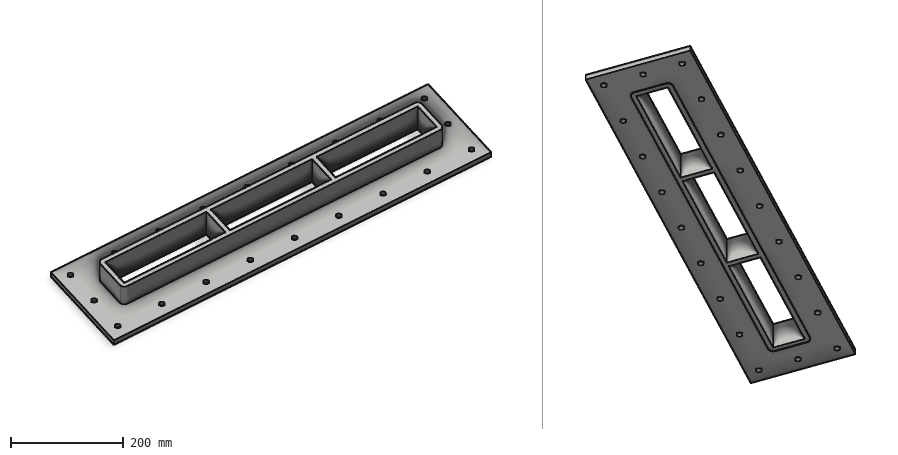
import cadquery as cq

plate_width = 200.0
plate_length = 814.0
plate_thickness = 12.0

total_height = 60.0
duct_width = 80.0
duct_length = 693.5
duct_corner_radius = 10.0
duct_protrusion_below = 2.0

wall = 10.0
cell_count = 3
cell_width = duct_width - 2 * wall
cell_length = (duct_length - (cell_count + 1) * wall) / cell_count
cell_pitch = cell_length + wall

hole_diameter = 10.5
hole_edge_distance = 25.0
holes_per_long_side = 9
hole_span_x = plate_width - 2 * hole_edge_distance
hole_span_y = plate_length - 2 * hole_edge_distance
hole_pitch_y = hole_span_y / (holes_per_long_side - 1)


def make_plate():
    """Flat flange, with its underside at Z = 0."""
    return cq.Workplane("XY").box(plate_width, plate_length, plate_thickness, centered=(True, True, False))


def make_duct():
    """Solid duct block with rounded vertical corners."""
    return (
        cq.Workplane("XY")
        .workplane(offset=-duct_protrusion_below)
        .rect(duct_width, duct_length)
        .extrude(total_height)
        .edges("|Z")
        .fillet(duct_corner_radius)
    )


def make_cells():
    """Row of rectangular through openings."""
    return (
        cq.Workplane("XY")
        .workplane(offset=-duct_protrusion_below)
        .rarray(8, cell_pitch, 1, cell_count)
        .rect(cell_width, cell_length)
        .extrude(total_height)
    )


def make_bolt_holes():
    """A row of holes on each long side and one hole at the middle of each short side."""
    side_holes = (
        cq.Workplane("XY")
        .rarray(hole_span_x, hole_pitch_y, 2, holes_per_long_side)
        .circle(hole_diameter / 2)
        .extrude(plate_thickness)
    )
    end_holes = (
        cq.Workplane("XY")
        .rarray(8, hole_span_y, 1, 2)
        .circle(hole_diameter / 2)
        .extrude(plate_thickness)
    )
    return side_holes.union(end_holes)


result = make_plate().union(make_duct()).cut(make_cells()).cut(make_bolt_holes())